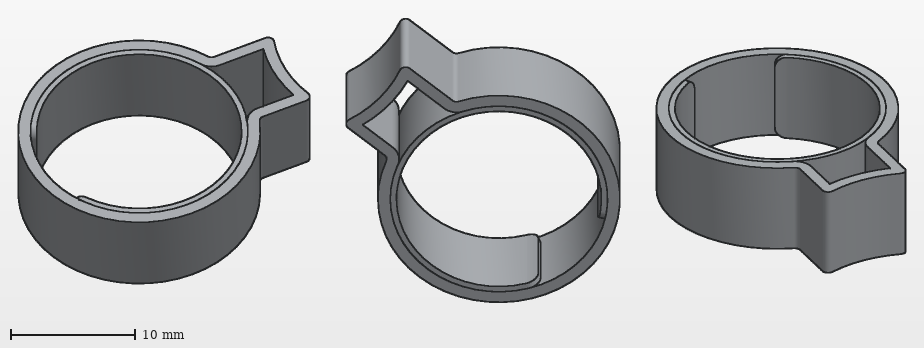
import cadquery as cq
import math

height = 7.5
outer_radius = 9.75
wall = 1.0
bore_radius = outer_radius - wall

head_width = 7.5
head_center_x = -0.75
head_middle_y = 13.5
head_face_radius = 9.99
corner_radius = 0.5
neck_radius = 0.5

liner_thickness = 0.5
liner_half_gap = 26.2
liner_end_radius = 1.0


def head_block(width, middle_y, face_radius):
    """Block from the ring axis out to a concave end face."""
    half = width / 2
    edge_y = middle_y + face_radius - math.sqrt(face_radius**2 - half**2)
    left = head_center_x - half
    right = head_center_x + half
    return (
        cq.Workplane("XY")
        .moveTo(left, 0)
        .lineTo(right, 0)
        .lineTo(right, edge_y)
        .threePointArc((head_center_x, middle_y), (left, edge_y))
        .close()
        .extrude(height)
    )


def keyhole(radius, width, middle_y, face_radius, neck_fillet):
    """Disc joined to a head block, with filleted necks between them."""
    shape = cq.Workplane("XY").circle(radius).extrude(height)
    shape = shape.union(head_block(width, middle_y, face_radius))
    for side in (-1, 1):
        x = head_center_x + side * width / 2
        neck_point = (x, math.sqrt(radius**2 - x**2), height / 2)
        shape = shape.edges(cq.selectors.NearestToPointSelector(neck_point)).fillet(neck_fillet)
    return shape


def make_housing():
    """Ring and hollow head with one even wall."""
    body = keyhole(outer_radius, head_width, head_middle_y, head_face_radius, neck_radius)
    for side in (-1, 1):
        corner = (head_center_x + side * head_width / 2, head_middle_y + corner_radius, height / 2)
        body = body.edges(cq.selectors.NearestToPointSelector(corner)).fillet(corner_radius)
    cavity = keyhole(
        bore_radius,
        head_width - 2 * wall,
        head_middle_y - wall,
        head_face_radius + wall,
        neck_radius + wall,
    )
    return body.cut(cavity)


def make_liner():
    """Thin ring open towards -Y, with rounded corners on both ends."""
    inner_radius = bore_radius - liner_thickness
    ring = cq.Workplane("XY").circle(bore_radius).circle(inner_radius).extrude(height)
    reach = 2 * bore_radius
    gap_x = reach * math.sin(math.radians(liner_half_gap))
    gap_y = -reach * math.cos(math.radians(liner_half_gap))
    gap = (
        cq.Workplane("XY")
        .polyline([(0, 0), (-gap_x, gap_y), (gap_x, gap_y)])
        .close()
        .extrude(height)
    )
    liner = ring.cut(gap)
    middle_radius = bore_radius - liner_thickness / 2
    for side in (-1, 1):
        for z in (0, height):
            end_corner = (
                side * middle_radius * math.sin(math.radians(liner_half_gap)),
                -middle_radius * math.cos(math.radians(liner_half_gap)),
                z,
            )
            corner_edge = cq.selectors.NearestToPointSelector(end_corner)
            liner = liner.edges(corner_edge).fillet(liner_end_radius)
    return liner


housing = make_housing()
liner = make_liner()
result = cq.Compound.makeCompound([*housing.solids().vals(), *liner.solids().vals()])